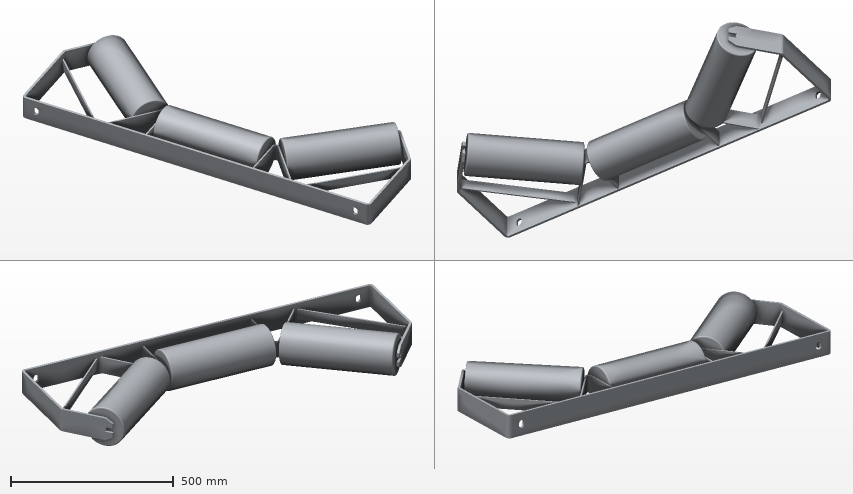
import cadquery as cq
import math


frame_width = 1210.0
frame_thickness = 8.0
frame_height = 77.0
frame_corner_radius = 14.0
wall_top = 275.0
wing_angle = 50.0
wing_length = 173.0
wing_tip_chamfer_length = 25.0
wing_tip_chamfer_height = 15.0
mount_slot_spacing = 1110.0
mount_slot_width = 18.0
mount_slot_length = 26.0

roller_diameter = 133.0
roller_length = 360.0
roller_edge_radius = 4.0
shaft_diameter = 20.0
shaft_flat_width = 16.0
trough_angle = 90.0 - wing_angle
center_roller_y = 126.3
center_roller_drop = 7.0
roller_gap_x = 49.0
wing_roller_inner_y = 142.3

bracket_thickness = 5.0
bracket_height = 56.0
bracket_bend_radius = 12.0
bracket_clearance = 4.0

brace_thickness = 5.0
brace_height = 35.0
brace_angle = 45.0
brace_top = 262.0

half_width = frame_width / 2
half_roller = roller_length / 2

axis_x = math.cos(math.radians(trough_angle))
axis_y = math.sin(math.radians(trough_angle))
wing_roller_inner_x = half_roller + roller_gap_x
wing_outside = (
    (half_width - wing_roller_inner_x) * axis_x + (wall_top - wing_roller_inner_y) * axis_y
)
bracket_outside = bracket_clearance + bracket_thickness

tilt_angle = math.degrees(math.asin(center_roller_drop / wing_outside))


def bent_strip(outer_points, thickness, height, outer_radius):
    """Strip of constant thickness bent along outer_points, lying to the left of the path."""
    headings = []
    for (x0, y0), (x1, y1) in zip(outer_points, outer_points[1:]):
        headings.append(math.atan2(y1 - y0, x1 - x0))
    incoming = [headings[0]] + headings
    outgoing = headings + [headings[-1]]
    inner_points = []
    for (x, y), before, after in zip(outer_points, incoming, outgoing):
        miter = thickness / math.cos((after - before) / 2)
        direction = (before + after) / 2 + math.pi / 2
        inner_points.append((x + miter * math.cos(direction), y + miter * math.sin(direction)))
    strip = (
        cq.Workplane("XY")
        .polyline(outer_points + inner_points[::-1])
        .close()
        .extrude(height / 2, both=True)
    )
    for points, radius in ((outer_points, outer_radius), (inner_points, outer_radius - thickness)):
        for x, y in points[1:-1]:
            strip = strip.edges(cq.selectors.NearestToPointSelector((x, y, 0))).fillet(radius)
    return strip


def place_center(body):
    """Move a body centered on X = 0 onto the middle roller axis."""
    return body.translate((0, center_roller_y, -center_roller_drop))


def place_wing(body):
    """Move a body built along X from the origin onto the right wing roller axis."""
    tilted = body.rotate((0, 0, 0), (0, 1, 0), -tilt_angle)
    turned = tilted.rotate((0, 0, 0), (0, 0, 1), trough_angle)
    return turned.translate((wing_roller_inner_x, wing_roller_inner_y, -center_roller_drop))


def mirrored(body):
    """Copy of a right-hand body on the left."""
    return body.mirror("YZ")


def shaft(start, end):
    """Shaft along X with flats on its +Z and -Z sides."""
    length = end - start
    rod = cq.Workplane("YZ").circle(shaft_diameter / 2).extrude(length)
    flats = cq.Workplane("XY").box(
        length, shaft_diameter, shaft_flat_width, centered=(False, True, True)
    )
    return rod.intersect(flats).translate((start, 0, 0))


def roller(shaft_start, shaft_end):
    """Drum from X = 0 to its length, on a shaft that sticks out at both ends."""
    drum = cq.Workplane("YZ").circle(roller_diameter / 2).extrude(roller_length)
    drum = drum.faces("<X or >X").edges().fillet(roller_edge_radius)
    return drum.union(shaft(shaft_start, shaft_end))


def open_shaft_slot(start, end, opening):
    """Slot around the shaft, open towards +Y over the given length."""
    mouth = cq.Workplane("XY").box(
        end - start, opening, shaft_flat_width, centered=(False, False, True)
    )
    return shaft(start, end).union(mouth.translate((start, 0, 0)))


wing_x = wing_length * math.cos(math.radians(wing_angle))
wing_y = wing_length * math.sin(math.radians(wing_angle))
right_side = [
    (half_width, 0),
    (half_width, wall_top),
    (half_width - wing_x, wall_top + wing_y),
]
left_side = [(-x, y) for x, y in reversed(right_side)]
frame = bent_strip(left_side + right_side, frame_thickness, frame_height, frame_corner_radius)

mount_slots = (
    cq.Workplane("XZ")
    .pushPoints([(-mount_slot_spacing / 2, 0), (mount_slot_spacing / 2, 0)])
    .slot2D(mount_slot_length, mount_slot_width, 90)
    .extrude(-frame_thickness)
)
frame = frame.cut(mount_slots)

corner = (
    cq.Workplane("YZ")
    .polyline([
        (0, frame_height / 2),
        (-wing_tip_chamfer_length, frame_height / 2),
        (0, frame_height / 2 - wing_tip_chamfer_height),
    ])
    .close()
    .extrude(2 * frame_thickness, both=True)
)
corners = corner.union(corner.mirror("XY"))
corners = corners.rotate((0, 0, 0), (0, 0, 1), trough_angle)
corners = corners.translate((half_width - wing_x, wall_top + wing_y, 0))
wing_slot = place_wing(
    open_shaft_slot(wing_outside - 2 * frame_thickness, wing_outside + frame_thickness, wing_length)
)
wing_cut = corners.union(wing_slot)
frame = frame.cut(wing_cut).cut(mirrored(wing_cut))

center_roller = place_center(
    roller(-bracket_outside, roller_length + bracket_outside).translate((-half_roller, 0, 0))
)
wing_roller = place_wing(roller(-bracket_outside, wing_outside))
wing_rollers = [wing_roller, mirrored(wing_roller)]

upright_x = half_roller + bracket_clearance
slope = math.tan(math.radians(wing_angle))
slope_top_x = wing_roller_inner_x - bracket_clearance * axis_x
slope_top_y = wing_roller_inner_y - bracket_clearance * axis_y
apex_y = slope_top_y + (slope_top_x - upright_x) * slope
foot_x = upright_x + apex_y / slope
bracket = bent_strip(
    [(foot_x, 0), (upright_x, apex_y), (upright_x, 0)],
    bracket_thickness,
    bracket_height,
    bracket_bend_radius,
)
bracket = bracket.translate((0, 0, -center_roller_drop))
above_base = cq.Workplane("XY").box(
    frame_width, wall_top, frame_width, centered=(True, False, True)
).translate((0, frame_thickness, 0))
bracket = bracket.intersect(above_base)

bracket = bracket.cut(center_roller).cut(wing_roller)
brackets = [bracket, mirrored(bracket)]

wall_inside = half_width - frame_thickness
brace_run = (brace_top - frame_thickness) / math.tan(math.radians(brace_angle))
brace_rise = brace_thickness / math.cos(math.radians(brace_angle))
brace_shift = brace_thickness / math.sin(math.radians(brace_angle))
brace = (
    cq.Workplane("XY")
    .polyline([
        (wall_inside, brace_top),
        (wall_inside - brace_run, frame_thickness),
        (wall_inside - brace_run + brace_shift, frame_thickness),
        (wall_inside, brace_top - brace_rise),
    ])
    .close()
    .extrude(brace_height / 2, both=True)
)
braces = [brace, mirrored(brace)]

bodies = [frame, center_roller] + wing_rollers + brackets + braces
result = cq.Compound.makeCompound([body.val() for body in bodies])